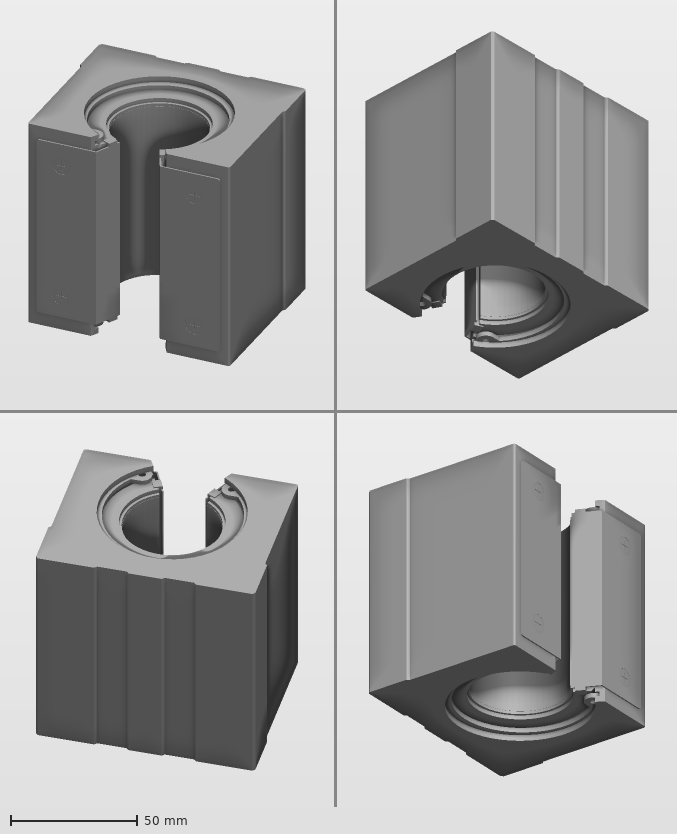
import cadquery as cq
import math


LENGTH = 90.0
HALF_WIDTH = 45.0
BACK_Y = 42.0
FRONT_CORNER_RADIUS = 1.0
BACK_CHAMFER = 1.0
RELIEF = 1.0
STEP_Y_LEFT = 23.0
STEP_Y_RIGHT = 22.0
BACK_GROOVE_INNER_X = 6.8
BACK_GROOVE_OUTER_X = 20.9
MOUTH_HALF_ANGLE = 29.2

BUSH_RADIUS = 30.0
BUSH_LENGTH = 80.0
BUSH_CHAMFER = 1.5
SHAFT_RADIUS = 20.0
COUNTERBORE_RADIUS = 21.15
COUNTERBORE_DEPTH = 1.8
LEAD_RADIUS = 20.1
LEAD_DEPTH = 3.1

RING_BOTTOM = 40.5
RING_THICKNESS = 2.0
RING_RADIUS = 31.8
RING_INNER_RADIUS = 28.3
RING_INNER_Y = -1.2
LUG_X = 18.4
LUG_Y = -22.9
LUG_RADIUS = 8.0 / 2
LUG_HOLE_DIAMETER = 3.0

PLATE_FRONT_Y = -30.15
PLATE_THICKNESS = 0.6
PLATE_LENGTH = 78.1
PLATE_OUTER_X = 39.9
PLATE_CORNER_RADIUS = 1.0
BEND_X = 13.9
LIP_ANGLE = 25.0
LIP_LENGTH = 12.4
STRIP_START = 6.8
STRIP_END = 11.1
STRIP_WIDTH = 3.7
STRIP_LENGTH = 2 * RING_BOTTOM
SCREW_X = 29.0
SCREW_Z = 29.5
SCREW_HEAD_DIAMETER = 8.0
SCREW_HEAD_RECESS = 0.1
CROSS_LENGTH = 4.3
CROSS_WIDTH = 0.45
CROSS_DEPTH = 0.3

FRONT_Y = PLATE_FRONT_Y + PLATE_THICKNESS


def centred_prism(points, length):
    """Extrude a closed outline in XY to a length centred on Z = 0."""
    return cq.Workplane("XY").polyline(points).close().extrude(length / 2, both=True)


def centred_cylinder(radius, length):
    return cq.Workplane("XY").circle(radius).extrude(length / 2, both=True)


def mirrored(body):
    return body.mirror("YZ")


def mouth_wedge():
    """Wedge from the bore axis toward -Y that opens the housing and the bush."""
    reach_y = 2 * FRONT_Y
    half_width = -reach_y * math.tan(math.radians(MOUTH_HALF_ANGLE))
    return centred_prism([(0, 0), (-half_width, reach_y), (half_width, reach_y)], LENGTH)


def lip_point(along, inward):
    """Point on the left lip: distance along it from the bend, and depth behind its face."""
    angle = math.radians(LIP_ANGLE)
    x = -BEND_X + along * math.sin(angle) - inward * math.cos(angle)
    y = PLATE_FRONT_Y + along * math.cos(angle) + inward * math.sin(angle)
    return x, y


def strip_prism(length):
    """Thick strip of the left seal."""
    return centred_prism(
        [
            lip_point(STRIP_START, 0),
            lip_point(STRIP_END, 0),
            lip_point(STRIP_END, STRIP_WIDTH),
            lip_point(STRIP_START, STRIP_WIDTH),
        ],
        length,
    )


def back_groove():
    return centred_prism(
        [
            (BACK_GROOVE_INNER_X, BACK_Y),
            (BACK_GROOVE_INNER_X + RELIEF, BACK_Y - RELIEF),
            (BACK_GROOVE_OUTER_X - RELIEF, BACK_Y - RELIEF),
            (BACK_GROOVE_OUTER_X, BACK_Y),
        ],
        LENGTH,
    )


def make_housing():
    front_half_width = HALF_WIDTH - RELIEF
    block = centred_prism(
        [
            (-HALF_WIDTH, BACK_Y),
            (HALF_WIDTH, BACK_Y),
            (HALF_WIDTH, STEP_Y_RIGHT),
            (front_half_width, STEP_Y_RIGHT - RELIEF),
            (front_half_width, FRONT_Y),
            (-front_half_width, FRONT_Y),
            (-front_half_width, STEP_Y_LEFT - RELIEF),
            (-HALF_WIDTH, STEP_Y_LEFT),
        ],
        LENGTH,
    )
    block = block.edges("|Z and >Y").chamfer(BACK_CHAMFER)
    block = block.edges("|Z and <Y").fillet(FRONT_CORNER_RADIUS)
    block = block.cut(back_groove()).cut(mirrored(back_groove()))
    block = block.cut(centred_cylinder(BUSH_RADIUS, LENGTH))
    ring_groove = (
        cq.Workplane("XY").workplane(offset=RING_BOTTOM).circle(RING_RADIUS).extrude(RING_THICKNESS)
    )
    block = block.cut(ring_groove).cut(ring_groove.mirror("XY"))
    return block.cut(mouth_wedge())


def make_bush():
    bush = centred_cylinder(BUSH_RADIUS, BUSH_LENGTH).edges().chamfer(BUSH_CHAMFER)
    bush = bush.cut(centred_cylinder(SHAFT_RADIUS, BUSH_LENGTH))
    for radius, depth in ((COUNTERBORE_RADIUS, COUNTERBORE_DEPTH), (LEAD_RADIUS, LEAD_DEPTH)):
        top = cq.Workplane("XY").workplane(offset=BUSH_LENGTH / 2 - depth).circle(radius).extrude(depth)
        bush = bush.cut(top).cut(top.mirror("XY"))
    notch = strip_prism(BUSH_LENGTH)
    return bush.cut(mouth_wedge()).cut(notch).cut(mirrored(notch))


def ring_lug(plane):
    """Left lug: a round end and a web, flat on top, that runs out past the ring's outer edge."""
    web_reach = RING_RADIUS - LUG_X
    web_centre_x = -LUG_X - web_reach / 2
    web = plane.center(web_centre_x, LUG_Y).rect(web_reach, 2 * LUG_RADIUS).extrude(RING_THICKNESS)
    return plane.center(-LUG_X, LUG_Y).circle(LUG_RADIUS).extrude(RING_THICKNESS).union(web)


def make_top_ring():
    plane = cq.Workplane("XY").workplane(offset=RING_BOTTOM)
    disc = plane.circle(RING_RADIUS).extrude(RING_THICKNESS)
    lug = ring_lug(plane)
    lugs = lug.union(mirrored(lug)).intersect(disc)
    opening = plane.center(0, RING_INNER_Y).circle(RING_INNER_RADIUS).extrude(RING_THICKNESS)
    gap_centre_y = LUG_Y - RING_RADIUS
    gap = plane.center(0, gap_centre_y).rect(2 * RING_RADIUS, 2 * RING_RADIUS).extrude(RING_THICKNESS)
    arc = disc.cut(opening).cut(gap)
    hole_centres = [(-LUG_X, LUG_Y), (LUG_X, LUG_Y)]
    holes = plane.pushPoints(hole_centres).circle(LUG_HOLE_DIAMETER / 2).extrude(RING_THICKNESS)
    return arc.union(lugs).cut(holes)


def screw_recess():
    """Shallow screw-head disc with a cross slot, cut into the left plate's front."""
    centres = [(-SCREW_X, SCREW_Z), (-SCREW_X, -SCREW_Z)]
    face = cq.Workplane("XZ", origin=(0, PLATE_FRONT_Y, 0)).pushPoints(centres)
    head = face.circle(SCREW_HEAD_DIAMETER / 2).extrude(-SCREW_HEAD_RECESS)
    level_slot = face.rect(CROSS_LENGTH, CROSS_WIDTH).extrude(-CROSS_DEPTH)
    upright_slot = face.rect(CROSS_WIDTH, CROSS_LENGTH).extrude(-CROSS_DEPTH)
    return head.union(level_slot).union(upright_slot)


def make_left_seal():
    mitre = PLATE_THICKNESS * math.tan(math.radians((90 - LIP_ANGLE) / 2))
    plate = centred_prism(
        [
            (-PLATE_OUTER_X, PLATE_FRONT_Y),
            (-BEND_X, PLATE_FRONT_Y),
            lip_point(LIP_LENGTH, 0),
            lip_point(LIP_LENGTH, PLATE_THICKNESS),
            lip_point(mitre, PLATE_THICKNESS),
            (-PLATE_OUTER_X, FRONT_Y),
        ],
        PLATE_LENGTH,
    )
    plate = plate.faces("<X").edges("|Y").fillet(PLATE_CORNER_RADIUS)
    return plate.union(strip_prism(STRIP_LENGTH)).cut(screw_recess())


housing = make_housing()
bush = make_bush()

top_ring = make_top_ring()
rings = [top_ring, top_ring.mirror("XY")]

left_seal = make_left_seal()
seals = [left_seal, mirrored(left_seal)]

result = cq.Compound.makeCompound(
    [housing.val(), bush.val()] + [body.val() for body in rings + seals]
)